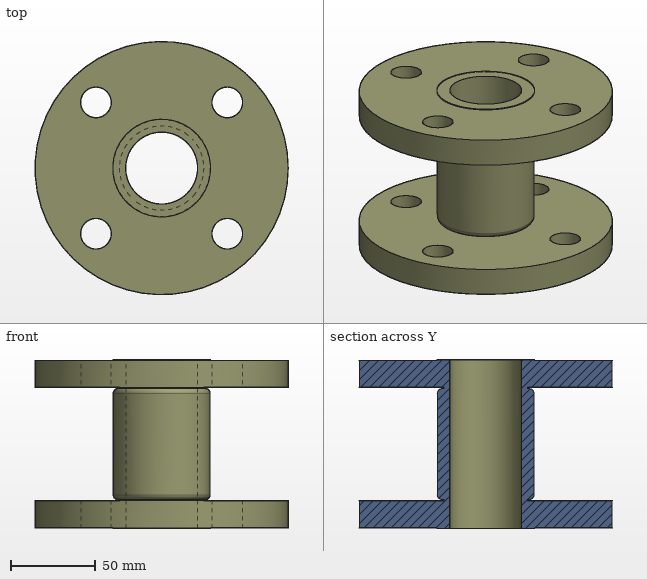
import cadquery as cq

flange_diameter = 150.0
total_length = 100.0
bore_diameter = 42.5

flange_thickness = 16.0
raised_face_height = 0.5
raised_face_diameter = 57.9

bolt_hole_count = 4
bolt_hole_diameter = 18.0
bolt_circle_diameter = 110.0
first_bolt_angle = 45.0

body_diameter = 57.5
body_edge_radius = 2.8
neck_diameter = 50.0
neck_height = 0.6

flange_inner_z = total_length / 2 - raised_face_height - flange_thickness
body_length = 2 * (flange_inner_z - neck_height)


def cylinder(diameter, bottom_z, height):
    """Solid cylinder on the Z axis."""
    return cq.Workplane("XY").workplane(offset=bottom_z).circle(diameter / 2).extrude(height)


def make_upper_flange():
    """Drilled flange with its raised face pointing up."""
    bolt_holes = (
        cq.Workplane("XY")
        .workplane(offset=flange_inner_z)
        .polarArray(bolt_circle_diameter / 2, first_bolt_angle, 360, bolt_hole_count)
        .circle(bolt_hole_diameter / 2)
        .extrude(flange_thickness)
    )
    raised_face = cylinder(raised_face_diameter, flange_inner_z + flange_thickness, raised_face_height)
    return cylinder(flange_diameter, flange_inner_z, flange_thickness).cut(bolt_holes).union(raised_face)


def make_body():
    """Rounded body with a short neck at each end that meets the flanges."""
    plain_body = cylinder(body_diameter, -body_length / 2, body_length)
    rounded_body = plain_body.edges("%CIRCLE").fillet(body_edge_radius)
    neck = cylinder(neck_diameter, -flange_inner_z, 2 * flange_inner_z)
    return rounded_body.union(neck)


upper_flange = make_upper_flange()
lower_flange = upper_flange.mirror("XY")
bore = cylinder(bore_diameter, -total_length / 2, total_length)

result = make_body().union(upper_flange).union(lower_flange).cut(bore)